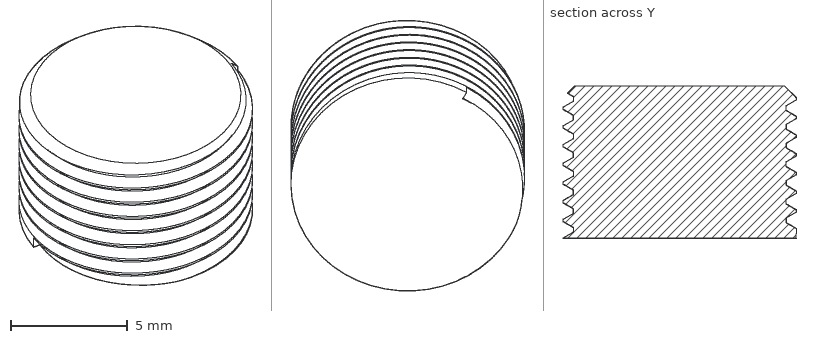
import cadquery as cq
import math

outer_radius = 5.0
height = 6.52
top_chamfer = 0.5

pitch = 0.8
crest_width = pitch / 8
root_width = pitch / 4
flank_angle = math.radians(30)
groove_mouth = pitch - crest_width
groove_depth = (groove_mouth - root_width) / 2 / math.tan(flank_angle)
root_radius = outer_radius - groove_depth

turns = 7.5
start_angle = -90
start_z = height - groove_mouth / 2 - turns * pitch
overcut = 0.05


def make_blank():
    return cq.Workplane("XY").circle(outer_radius).extrude(height).faces(">Z").chamfer(top_chamfer)


def make_groove_cutter():
    cutter_radius = outer_radius + overcut
    root_half = root_width / 2
    mouth_half = groove_mouth / 2 + overcut * math.tan(flank_angle)
    path = cq.Workplane(cq.Wire.makeHelix(pitch, turns * pitch, root_radius))
    profile = cq.Workplane("XZ").polyline(
        [
            (root_radius, -root_half),
            (cutter_radius, -mouth_half),
            (cutter_radius, mouth_half),
            (root_radius, root_half),
        ]
    ).close()
    cutter = profile.sweep(path, isFrenet=True)
    return cutter.rotate((0, 0, 0), (0, 0, 1), start_angle).translate((0, 0, start_z))


result = make_blank().cut(make_groove_cutter())